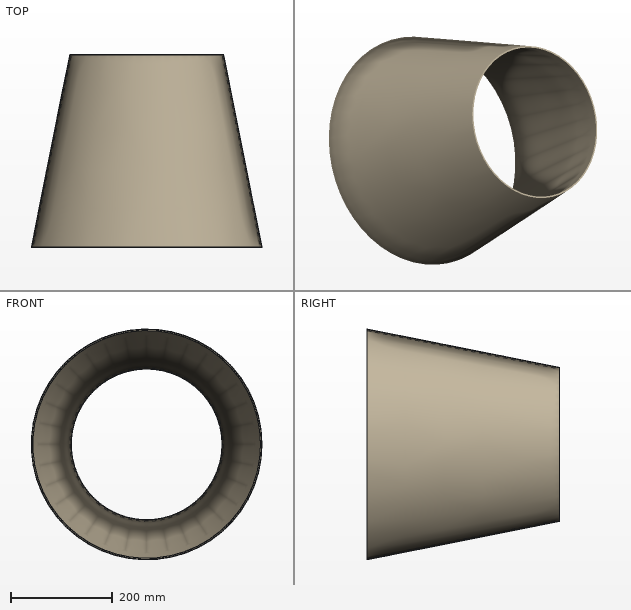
import cadquery as cq

large_outer_diameter = 456.0
small_outer_diameter = 304.0
length = 381.0
wall = 3.0

large_outer_radius = large_outer_diameter / 2
small_outer_radius = small_outer_diameter / 2


def wall_section():
    """Half section of the wall in the XY plane, with flat end faces."""
    return cq.Workplane("XY").polyline(
        [
            (large_outer_radius - wall, 0),
            (large_outer_radius, 0),
            (small_outer_radius, length),
            (small_outer_radius - wall, length),
        ]
    ).close()


result = wall_section().revolve(360, (0, 0, 0), (0, 1, 0))